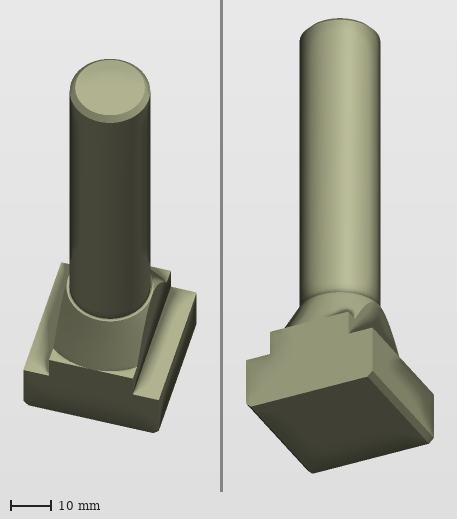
import cadquery as cq

total_height = 114.0
head_side = 35.0
head_height = 14.0
head_chamfer = 1.4
neck_width = 21.7
neck_top = 20.5
cone_top = 32.3
cone_top_diameter = neck_width
shank_diameter = 20.1
tip_chamfer = 1.4

head = (
    cq.Workplane("XY")
    .box(head_side, head_side, head_height, centered=(True, True, False))
    .faces("<Z")
    .edges("|Y")
    .chamfer(head_chamfer)
)

neck = cq.Workplane("XY").box(neck_width, head_side, neck_top, centered=(True, True, False))

cone = (
    cq.Workplane("XY")
    .workplane(offset=neck_top)
    .circle(head_side / 2)
    .workplane(offset=cone_top - neck_top)
    .circle(cone_top_diameter / 2)
    .loft()
)
neck_envelope = cq.Workplane("XY").box(neck_width, head_side, cone_top, centered=(True, True, False))
shoulder = cone.intersect(neck_envelope)

shank = (
    cq.Workplane("XY")
    .workplane(offset=neck_top)
    .circle(shank_diameter / 2)
    .extrude(total_height - neck_top)
    .faces(">Z")
    .chamfer(tip_chamfer)
)

result = head.union(neck).union(shoulder).union(shank)